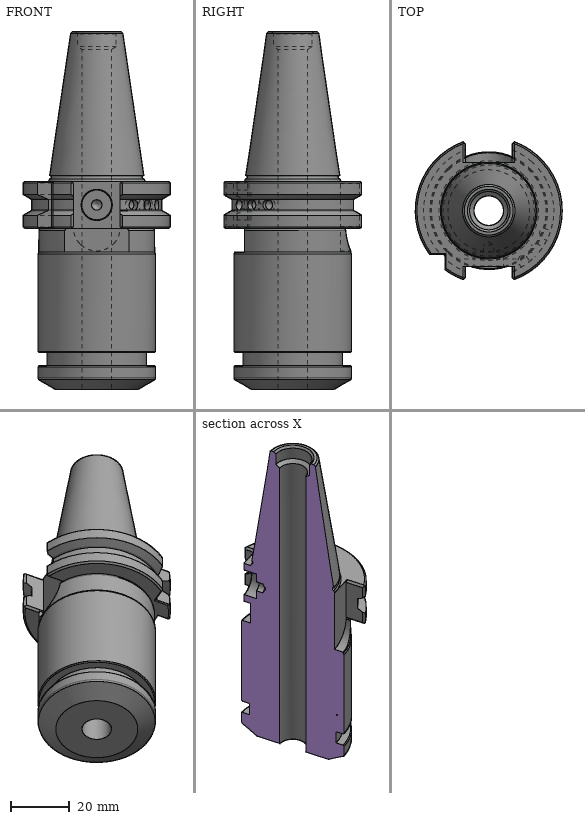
import cadquery as cq
import math

total_height = 121.6
gauge_z = 73.8
taper_end_z = 72.7
relief_bottom_z = 71.7
flange_top_z = 70.8
flange_bottom_z = 54.7
groove_center_z = 62.8
neck_top_z = 54.0
body_top_z = 46.7
body_bottom_z = 12.7
nut_top_z = 8.2
nut_rim_bottom_z = 4.1
nut_cone_top_z = 3.4

taper_gauge_radius = 15.88
taper_ratio = 7 / 24
relief_foot_radius = 16.4
flange_radius = 50.0 / 2
neck_radius = 19.7
neck_undercut = 0.2
body_radius = 40.0 / 2
lower_neck_radius = 34.0 / 2
nut_cone_radius = 19.8
nut_cone_angle = 30.0
taper_end_radius = taper_gauge_radius + (gauge_z - taper_end_z) * taper_ratio / 2
taper_tip_radius = taper_gauge_radius - (total_height - gauge_z) * taper_ratio / 2
nut_end_radius = nut_cone_radius - nut_cone_top_z / math.tan(math.radians(nut_cone_angle))

edge_chamfer = 0.6
body_chamfer = 0.4

bore_diameter = 10.0
counterbore_diameter = 13.0
counterbore_depth = 5.1
counterbore_cone_height = 1.0
bore_mouth_chamfer = 0.7

groove_floor_radius = 22.1
groove_floor_width = 3.5
groove_corner_bevel = 0.2
groove_flank_angle = 30.0

slot_width = 15.9
slot_edge_chamfer = 0.7
front_slot_floor_y = -19.0
rear_slot_floor_y = 16.3
rear_slot_end_z = 55.1
front_slot_corner_chamfer = 0.5
notch_offset = 14.8
notch_corner_chamfer = 0.6
notch_edge_chamfer = 0.4
neck_flat_y = -16.4

coding_hole_diameter = 10.1
coding_hole_depth = 4.9
coding_hole_chamfer = 0.2
drill_diameter = 3.5
drill_depth = 2.4
drill_clearance = 1.2
drill_point_angle = 118.0
groove_hole_first_angle = -55.6
groove_hole_step = 16.5
groove_hole_count = 3


def revolve_profile(points):
    """Revolve a closed (radius, z) outline about the Z axis."""
    return cq.Workplane("XZ").polyline(points).close().revolve(360, (0, 0, 0), (0, 1, 0))


def box_between(x_range, y_range, z_range):
    """Axis-aligned block between the given limits."""
    size = [high - low for low, high in (x_range, y_range, z_range)]
    corner = (x_range[0], y_range[0], z_range[0])
    return cq.Workplane("XY").box(*size, centered=False).translate(corner)


def make_turned_body():
    """Taper shank, necks, clamping body and nut, without the flange."""
    return revolve_profile([
        (0, 0),
        (nut_end_radius, 0),
        (nut_cone_radius, nut_cone_top_z),
        (body_radius, nut_rim_bottom_z),
        (body_radius, nut_top_z - body_chamfer),
        (body_radius - body_chamfer, nut_top_z),
        (lower_neck_radius, nut_top_z),
        (lower_neck_radius, body_bottom_z),
        (body_radius - body_chamfer, body_bottom_z),
        (body_radius, body_bottom_z + body_chamfer),
        (body_radius, body_top_z - edge_chamfer),
        (neck_radius, body_top_z),
        (neck_radius, neck_top_z),
        (neck_radius - neck_undercut, flange_bottom_z),
        (relief_foot_radius, flange_bottom_z),
        (relief_foot_radius, flange_top_z),
        (taper_end_radius, relief_bottom_z),
        (taper_end_radius, taper_end_z),
        (taper_tip_radius, total_height - edge_chamfer),
        (taper_tip_radius - edge_chamfer, total_height),
        (0, total_height),
    ])


def make_slot_edge_break(side):
    """Flared passage that chamfers the slot edges; side is +1 for +Y and -1 for -Y."""
    half_width = slot_width / 2
    half_mouth = half_width + slot_edge_chamfer
    mouth_y = math.sqrt(flange_radius**2 - half_mouth**2)
    floor_y = rear_slot_floor_y if side > 0 else front_slot_floor_y
    upper_and_lower = (
        cq.Workplane("XZ", origin=(0, floor_y, 0))
        .polyline([
            (-half_mouth, flange_top_z),
            (-half_width, flange_top_z - slot_edge_chamfer),
            (-half_width, flange_bottom_z + slot_edge_chamfer),
            (-half_mouth, flange_bottom_z),
            (half_mouth, flange_bottom_z),
            (half_width, flange_bottom_z + slot_edge_chamfer),
            (half_width, flange_top_z - slot_edge_chamfer),
            (half_mouth, flange_top_z),
        ])
        .close()
        .extrude(floor_y - side * flange_radius)
    )
    outer = (
        cq.Workplane("XY", origin=(0, 0, flange_bottom_z))
        .polyline([
            (-half_width, side * (mouth_y - slot_edge_chamfer)),
            (half_width, side * (mouth_y - slot_edge_chamfer)),
            (half_mouth, side * mouth_y),
            (half_mouth, side * flange_radius),
            (-half_mouth, side * flange_radius),
            (-half_mouth, side * mouth_y),
        ])
        .close()
        .extrude(flange_top_z - flange_bottom_z)
    )
    return upper_and_lower.union(outer)


def make_rear_slot():
    """Rear drive slot with a round lower end that runs out into the neck."""
    half_width = slot_width / 2
    return (
        cq.Workplane("XZ", origin=(0, rear_slot_floor_y, 0))
        .moveTo(-half_width, flange_top_z)
        .lineTo(-half_width, rear_slot_end_z)
        .threePointArc((0, rear_slot_end_z - half_width), (half_width, rear_slot_end_z))
        .lineTo(half_width, flange_top_z)
        .close()
        .extrude(rear_slot_floor_y - flange_radius)
    )


def make_relief_groove():
    """Round-bottomed relief groove between the taper and the flange."""
    groove_radius = (taper_end_z - relief_bottom_z) / 2
    return (
        cq.Workplane("XZ")
        .center(taper_end_radius, relief_bottom_z + groove_radius)
        .circle(groove_radius)
        .revolve(360, (-taper_end_radius, 0, 0), (-taper_end_radius, 1, 0))
    )


def make_front_slot():
    """Front drive slot, straight through the flange, with chamfered floor corners."""
    half_width = slot_width / 2
    slot = box_between(
        (-half_width, half_width), (-flange_radius, front_slot_floor_y), (flange_bottom_z, flange_top_z)
    )
    return slot.edges("|Z and >Y").chamfer(front_slot_corner_chamfer)


def make_notch():
    """Corner notch at -X, -Y with a chamfered inner corner."""
    notch = box_between(
        (-flange_radius, -notch_offset), (-flange_radius, -notch_offset), (flange_bottom_z, flange_top_z)
    )
    return notch.edges("|Z and >Y and >X").chamfer(notch_corner_chamfer)


def make_gripper_groove():
    """Ring with sloping flanks and bevelled floor corners that forms the groove around the flange."""
    bevel_radius = groove_floor_radius + groove_corner_bevel
    flank_height = (flange_radius - bevel_radius) * math.tan(math.radians(groove_flank_angle))
    half_floor = groove_floor_width / 2
    half_bevel = half_floor + groove_corner_bevel
    half_mouth = half_bevel + flank_height
    return revolve_profile([
        (groove_floor_radius, groove_center_z - half_floor),
        (bevel_radius, groove_center_z - half_bevel),
        (flange_radius, groove_center_z - half_mouth),
        (flange_radius, groove_center_z + half_mouth),
        (bevel_radius, groove_center_z + half_bevel),
        (groove_floor_radius, groove_center_z + half_floor),
    ])


def make_notch_edge_break():
    """Pair of flared blocks that chamfer the upper and lower notch edges."""
    span = flange_radius - notch_offset
    center = -(flange_radius + notch_offset) / 2
    upper = (
        cq.Workplane("XY", origin=(center, center, flange_top_z - notch_edge_chamfer))
        .rect(span, span)
        .extrude(notch_edge_chamfer, taper=-45)
    )
    lower = upper.mirror("XY", (0, 0, (flange_top_z + flange_bottom_z) / 2))
    return upper.union(lower)


def make_flange():
    """Flange disc with gripper groove, drive slots and notch."""
    disc = (
        cq.Workplane("XY", origin=(0, 0, flange_bottom_z))
        .circle(flange_radius)
        .extrude(flange_top_z - flange_bottom_z)
        .edges()
        .chamfer(edge_chamfer)
    )
    cutters = [
        make_gripper_groove(),
        make_front_slot(),
        make_slot_edge_break(-1),
        make_slot_edge_break(1),
        make_notch(),
        make_notch_edge_break(),
    ]
    for cutter in cutters:
        disc = disc.cut(cutter)
    return disc


def make_bore():
    """Through bore with a countersunk counterbore at the taper end."""
    bore_radius = bore_diameter / 2
    counterbore_radius = counterbore_diameter / 2
    counterbore_z = total_height - counterbore_depth
    return revolve_profile([
        (0, 0),
        (bore_radius, 0),
        (bore_radius, counterbore_z - counterbore_cone_height),
        (counterbore_radius, counterbore_z),
        (counterbore_radius, total_height - bore_mouth_chamfer),
        (counterbore_radius + bore_mouth_chamfer, total_height),
        (0, total_height),
    ])


def make_drill(angle, mouth_radius):
    """Drill with a conical point, aimed at the axis; it enters the surface at mouth_radius."""
    drill_radius = drill_diameter / 2
    tip_height = drill_radius / math.tan(math.radians(drill_point_angle / 2))
    shoulder = mouth_radius - drill_depth
    outline = [
        (shoulder - tip_height, 0),
        (shoulder, drill_radius),
        (mouth_radius + drill_clearance, drill_radius),
        (mouth_radius + drill_clearance, 0),
    ]
    drill = cq.Workplane("XY").polyline(outline).close().revolve(360, (0, 0, 0), (1, 0, 0))
    return drill.rotate((0, 0, 0), (0, 0, 1), angle).translate((0, 0, groove_center_z))


def make_coding_hole():
    """Flat-bottomed hole in the front slot floor with a drilled centre."""
    floor_y = front_slot_floor_y + coding_hole_depth
    hole = (
        cq.Workplane("XZ", origin=(0, floor_y, groove_center_z))
        .circle(coding_hole_diameter / 2)
        .extrude(coding_hole_depth)
    )
    countersink = (
        cq.Workplane("XZ", origin=(0, front_slot_floor_y + coding_hole_chamfer, groove_center_z))
        .circle(coding_hole_diameter / 2)
        .extrude(coding_hole_chamfer, taper=-45)
    )
    return hole.union(countersink).union(make_drill(-90, -floor_y))


def make_neck_flat():
    """Material removed in front of the flat on the neck below the flange."""
    return box_between(
        (-neck_radius, neck_radius), (-flange_radius, neck_flat_y), (body_top_z, flange_bottom_z)
    )


result = make_turned_body().cut(make_relief_groove()).cut(make_neck_flat()).union(make_flange())
result = result.cut(make_rear_slot()).cut(make_bore()).cut(make_coding_hole())
for index in range(groove_hole_count):
    hole_angle = groove_hole_first_angle + index * groove_hole_step
    result = result.cut(make_drill(hole_angle, groove_floor_radius))